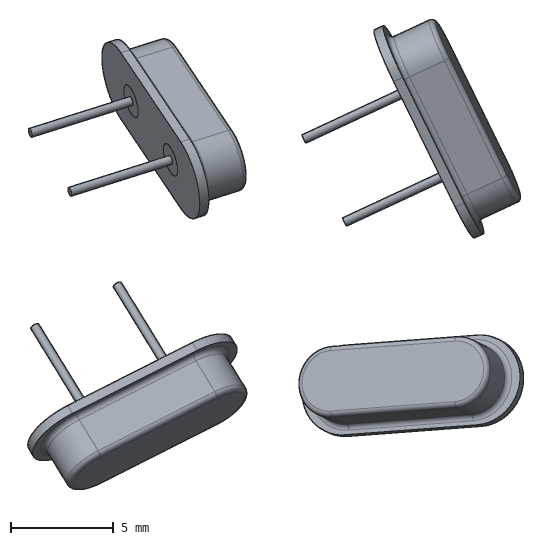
import cadquery as cq


flange_length = 11.4
flange_width = 4.45
flange_thickness = 0.49

can_length = 10.0
can_width = 3.5
can_height = 2.4
edge_radius = 0.25
root_radius = 0.26

overall_depth = 8.29
lead_spacing = 4.59
lead_diameter = 0.46
seal_diameter = 1.65

closed_end = flange_thickness + can_height
lead_length = overall_depth - closed_end
seal_depth = flange_thickness
lead_positions = [-lead_spacing / 2, lead_spacing / 2]


def plane_at(y, x=0.0):
    """Plane facing +Y through the point (x, y, 0)."""
    return cq.Plane(origin=(x, y, 0), xDir=(-1, 0, 0), normal=(0, 1, 0))


def rounded_end_block(length, width, start, height):
    """Block with semicircular ends, long axis along X, extruded from Y = start toward +Y."""
    return cq.Workplane(plane_at(start)).slot2D(length, width).extrude(height)


def cylinder(x, start, diameter, length):
    """Cylinder along +Y, starting at Y = start."""
    return cq.Workplane(plane_at(start, x)).circle(diameter / 2).extrude(length)


def make_housing():
    """Flange and can in one piece, with a round recess for each seal."""
    flange = rounded_end_block(flange_length, flange_width, 0, flange_thickness)
    can = rounded_end_block(can_length, can_width, flange_thickness, can_height)
    can = can.faces(">Y").edges().fillet(edge_radius)

    housing = flange.union(can)
    rim_face = housing.faces("+Y").faces("<Y").val()
    root_edges = rim_face.innerWires()[0].Edges()
    housing = housing.newObject(root_edges).fillet(root_radius)

    for x in lead_positions:
        housing = housing.cut(cylinder(x, 0, seal_diameter, seal_depth))
    return housing


def make_lead(x):
    """Seal flush with the flange face, with the wire standing out of it."""
    seal = cylinder(x, 0, seal_diameter, seal_depth)
    wire = cylinder(x, -lead_length, lead_diameter, lead_length)
    return seal.union(wire)


housing = make_housing()
leads = [make_lead(x) for x in lead_positions]

result = cq.Compound.makeCompound([housing.val(), *[lead.val() for lead in leads]])